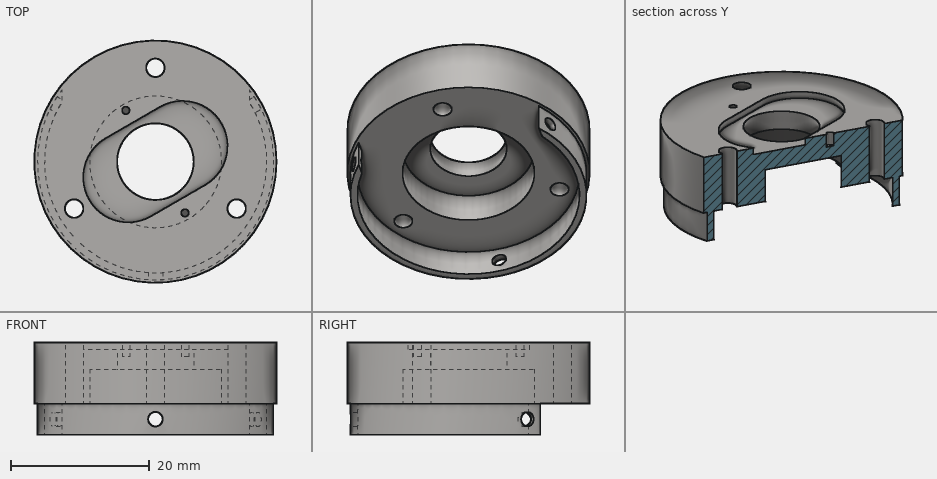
import cadquery as cq

body_diameter = 34.92
total_height = 13.3
skirt_height = 4.5
skirt_diameter = 34.0
skirt_wall = 1.0
skirt_gap_width = 27.0

bore_diameter = 11.0
counterbore_diameter = 19.0
counterbore_roof_depth = 3.85

pocket_width = 13.0
pocket_center_distance = 9.0
pocket_angle = 30.0
pocket_depth = 1.0

screw_hole_diameter = 2.62
screw_circle_radius = 13.5
pin_hole_diameter = 1.08
pin_circle_radius = 8.52
pin_hole_depth = 2.0
radial_hole_diameter = 2.05
radial_hole_angles = (30.0, 150.0, 270.0)

skirt_inner_diameter = skirt_diameter - 2 * skirt_wall
pocket_length = pocket_center_distance + pocket_width


def cylinder(diameter, bottom, top):
    """Upright cylinder on the Z axis between two heights."""
    return cq.Workplane("XY").workplane(offset=bottom).circle(diameter / 2).extrude(top - bottom)


def holes_on_circle(diameter, circle_radius, start_angle, count, bottom):
    """Evenly spaced upright cutters reaching from a height to the top face."""
    return (
        cq.Workplane("XY")
        .workplane(offset=bottom)
        .polarArray(circle_radius, start_angle, 360, count)
        .circle(diameter / 2)
        .extrude(total_height - bottom)
    )


def make_skirt():
    """Thin ring, open on the +Y side and drilled radially."""
    skirt = cylinder(skirt_diameter, 0, skirt_height)
    skirt = skirt.cut(cylinder(skirt_inner_diameter, 0, skirt_height))
    gap = cq.Workplane("XY").box(
        skirt_gap_width, body_diameter, skirt_height, centered=(True, False, False)
    )
    skirt = skirt.cut(gap)
    drill = (
        cq.Workplane("YZ")
        .center(0, skirt_height / 2)
        .circle(radial_hole_diameter / 2)
        .extrude(body_diameter / 2)
    )
    for angle in radial_hole_angles:
        skirt = skirt.cut(drill.rotate((0, 0, 0), (0, 0, 1), angle))
    return skirt


def make_pocket():
    """Oblong cutter sunk into the top face."""
    return (
        cq.Workplane("XY")
        .workplane(offset=total_height - pocket_depth)
        .slot2D(pocket_length, pocket_width, pocket_angle)
        .extrude(pocket_depth)
    )


def make_disc():
    """Solid disc with its stepped bore, pocket, screw holes and blind pin holes."""
    disc = cylinder(body_diameter, skirt_height, total_height)
    disc = disc.cut(cylinder(bore_diameter, skirt_height, total_height))
    counterbore_roof = total_height - counterbore_roof_depth
    disc = disc.cut(cylinder(counterbore_diameter, skirt_height, counterbore_roof))
    disc = disc.cut(make_pocket())
    screw_holes = holes_on_circle(screw_hole_diameter, screw_circle_radius, 90, 3, skirt_height)
    disc = disc.cut(screw_holes)
    pin_floor = total_height - pin_hole_depth
    pin_angle = pocket_angle + 90
    return disc.cut(holes_on_circle(pin_hole_diameter, pin_circle_radius, pin_angle, 2, pin_floor))


result = make_disc().union(make_skirt())